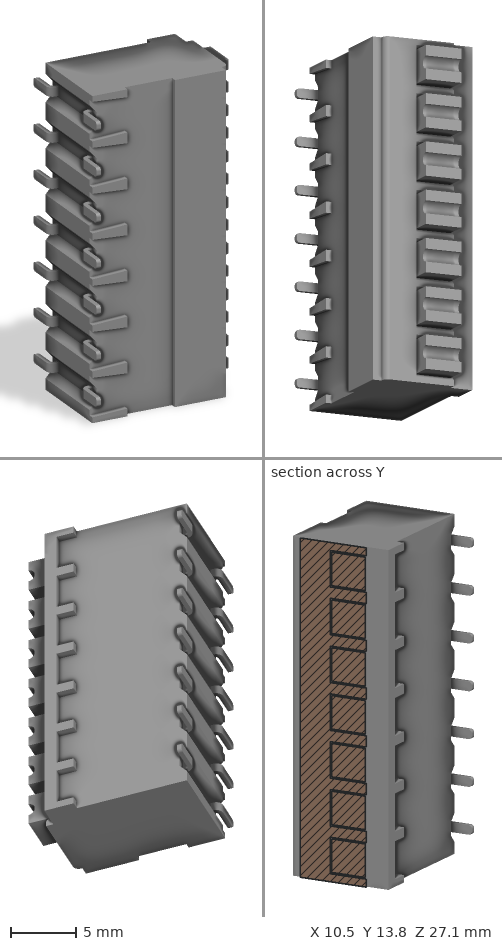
import cadquery as cq

length = 27.05
pole_count = 7
first_pole_z = 2.1
pole_pitch = (length - 2 * first_pole_z) / (pole_count - 1)
pole_centres = [first_pole_z + i * pole_pitch for i in range(pole_count)]

body_half_width = 3.65
front_y = 0.22
shoulder_y = 11.77
raised_height = 0.6
raised_y = shoulder_y + raised_height
raised_left_x = -2.5
raised_right_x = 3.38
raised_corner_radius = 0.45

left_flange_x = -4.3
left_flange_y = 10.77
tooth_tip_y = 9.34
tooth_gap = 3.03

right_flange_x = 4.1
right_flange_y = 7.35
rib_back_y = 3.25
rib_front_width = 0.55
rib_back_width = 0.9

groove_depth = 0.6
groove_wall_run = 0.65
groove_floor_width = 1.05

button_left_x = -2.4
button_right_x = 0.6
button_height = 2.7
button_top_y = 13.85
button_notch_radius = 0.51
slot_clearance = 0.08
slot_chamfer = 0.22

lead_tip_x = 5.25
lead_bend_start_x = 3.17
lead_bend_radius = 0.57
lead_thickness = 0.38
lead_width = 0.75
lead_corner_radius = 0.27
lead_embed_depth = 0.55


def block(x_range, y_range, z_range):
    """Box spanning the given (low, high) ranges."""
    size = [high - low for low, high in (x_range, y_range, z_range)]
    corner = (x_range[0], y_range[0], z_range[0])
    return cq.Workplane("XY").box(*size, centered=False).translate(corner)


def prism_along_x(points, x_low, x_high):
    """Extrude a closed (Y, Z) outline between two X positions."""
    outline = cq.Workplane("YZ", origin=(x_low, 0, 0)).polyline(points).close()
    return outline.extrude(x_high - x_low)


def make_body():
    full_z = (0, length)
    body = block((-body_half_width, body_half_width), (front_y, shoulder_y), full_z)
    body = body.union(block((left_flange_x, -body_half_width), (tooth_tip_y, shoulder_y), full_z))
    body = body.union(block((body_half_width, right_flange_x), (right_flange_y, shoulder_y), full_z))
    raised = block((raised_left_x, raised_right_x), (shoulder_y, raised_y), full_z)
    raised = raised.edges("|Z and >X and >Y").fillet(raised_corner_radius)
    return body.union(raised)


def make_foot_rib(z):
    """Tapered rib on the +X side, narrowest at the front and trimmed to the housing length."""
    front_half = rib_front_width / 2
    back_half = rib_back_width / 2
    outline = [
        (front_y, z - front_half),
        (front_y, z + front_half),
        (rib_back_y, z + back_half),
        (rib_back_y, z - back_half),
    ]
    rib = prism_along_x(outline, body_half_width, right_flange_x)
    housing_limits = block((body_half_width, right_flange_x), (front_y, rib_back_y), (0, length))
    return rib.intersect(housing_limits)


def make_tooth_gap(z):
    half_gap = tooth_gap / 2
    return block(
        (left_flange_x, -body_half_width), (tooth_tip_y, left_flange_y), (z - half_gap, z + half_gap)
    )


def make_front_groove(z):
    """Flat-bottomed groove with sloping walls."""
    floor_y = front_y + groove_depth
    floor_half = groove_floor_width / 2
    mouth_half = floor_half + groove_wall_run
    outline = [
        (front_y, z - mouth_half),
        (floor_y, z - floor_half),
        (floor_y, z + floor_half),
        (front_y, z + mouth_half),
    ]
    return prism_along_x(outline, -body_half_width, body_half_width)


def make_button_slot(z):
    """Slot through the raised top, open to -X, with chamfered upper edges."""
    slot_half = button_height / 2 + slot_clearance
    mouth_half = slot_half + slot_chamfer
    chamfer_y = raised_y - slot_chamfer
    outline = [
        (shoulder_y, z - slot_half),
        (chamfer_y, z - slot_half),
        (raised_y, z - mouth_half),
        (raised_y, z + mouth_half),
        (chamfer_y, z + slot_half),
        (shoulder_y, z + slot_half),
    ]
    return prism_along_x(outline, raised_left_x, button_right_x + slot_clearance)


def make_button(z):
    """Push button with a half-round notch across its top."""
    half_height = button_height / 2
    button = block(
        (button_left_x, button_right_x), (left_flange_y, button_top_y), (z - half_height, z + half_height)
    )
    notch = cq.Workplane("YZ", origin=(button_left_x, 0, 0)).center(button_top_y, z)
    notch = notch.circle(button_notch_radius).extrude(button_right_x - button_left_x)
    return button.cut(notch)


def make_right_lead(z):
    """Flat foot pointing to +X, bent back into the groove floor."""
    outer_leg_x = lead_bend_start_x - lead_bend_radius
    inner_leg_x = outer_leg_x + lead_thickness
    leg_end_y = front_y + groove_depth + lead_embed_depth
    inner_radius = lead_bend_radius - lead_thickness
    lead = (
        cq.Workplane("XY", origin=(0, 0, z - lead_width / 2))
        .moveTo(lead_tip_x, 0)
        .lineTo(lead_bend_start_x, 0)
        .radiusArc((outer_leg_x, lead_bend_radius), lead_bend_radius)
        .lineTo(outer_leg_x, leg_end_y)
        .lineTo(inner_leg_x, leg_end_y)
        .lineTo(inner_leg_x, lead_bend_radius)
        .radiusArc((lead_bend_start_x, lead_thickness), -inner_radius)
        .lineTo(lead_tip_x, lead_thickness)
        .close()
        .extrude(lead_width)
    )
    return lead.edges("|Y and >X").fillet(lead_corner_radius)


result = make_body()

for i in range(pole_count + 1):
    result = result.union(make_foot_rib(first_pole_z + (i - 0.5) * pole_pitch))

for pole_z in pole_centres:
    result = result.cut(make_tooth_gap(pole_z))
    result = result.cut(make_front_groove(pole_z))
    result = result.cut(make_button_slot(pole_z))
    result = result.union(make_button(pole_z))
    right_lead = make_right_lead(pole_z)
    result = result.union(right_lead).union(right_lead.mirror("YZ"))